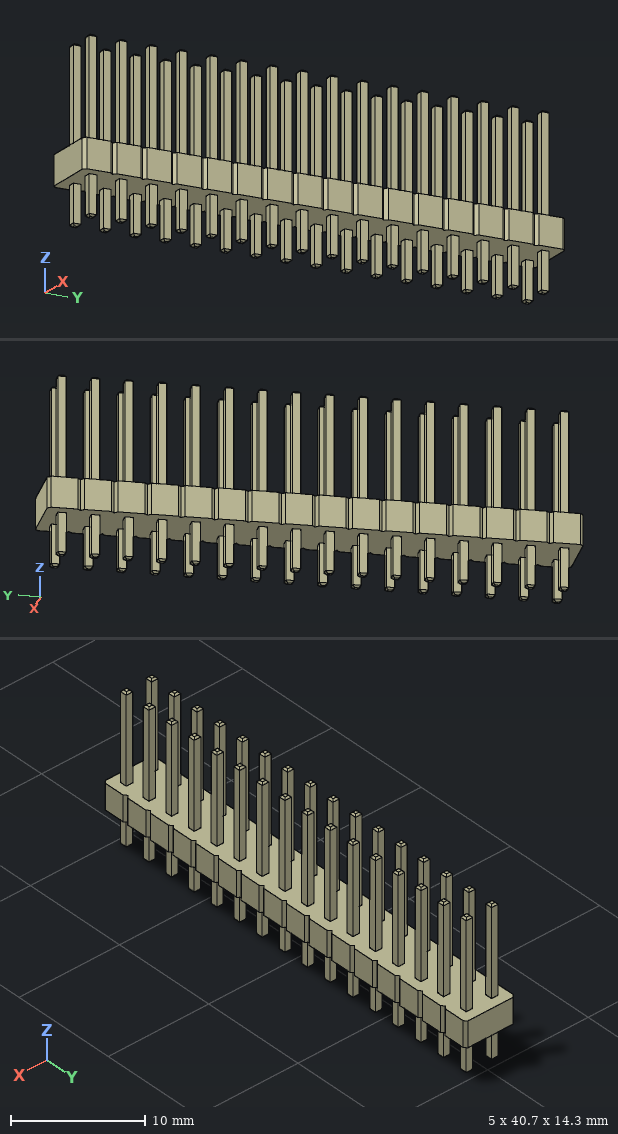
import cadquery as cq

rows = 16
columns = 2
overall_length = 40.65
row_pitch = overall_length / rows
column_pitch = 2.5

body_width = 5.0
body_height = 2.48
corner_chamfer = 0.25

pin_width = 0.65
pin_length = 14.3
pin_drop = 3.3
tip_chamfer = 0.15


def body_cell():
    """One pin row's slice of the body; its cut corners form the V notches."""
    return (
        cq.Workplane("XY")
        .box(body_width, row_pitch, body_height, centered=(True, True, False))
        .edges("|Z")
        .chamfer(corner_chamfer)
    )


def pin():
    """One square pin through the body, with chamfered tips at both ends."""
    return (
        cq.Workplane("XY")
        .workplane(offset=-pin_drop)
        .box(pin_width, pin_width, pin_length, centered=(True, True, False))
        .faces("<Z or >Z")
        .edges()
        .chamfer(tip_chamfer)
    )


cells = cq.Workplane("XY").rarray(0.4, row_pitch, 1, rows).eachpoint(body_cell().val(), combine=False)
pins = (
    cq.Workplane("XY")
    .rarray(column_pitch, row_pitch, columns, rows)
    .eachpoint(pin().val(), combine=False)
)

result = cells.combine().union(pins)